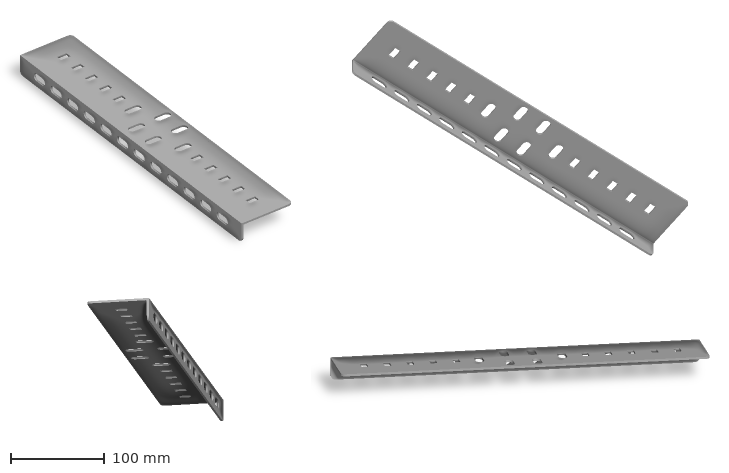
import cadquery as cq

length = 400.0
depth = 68.0
height = 24.5
thickness = 2.5
inner_bend_radius = 1.0
corner_radius = 5.0

slot_length = 20.0
slot_width = 9.0
slot_pitch = 30.0

front_slot_count = 12
front_slot_z = -13.0

hole_line_y = 36.0
slot_row_spacing = 35.0
window_width = 7.0
window_depth = 12.5
windows_per_side = 5
first_window_x = 70.0
last_window_x = 170.0


def make_angle():
    """L section along X, with rounded inner bend and rounded free corners."""
    section = [
        (0, 0),
        (depth, 0),
        (depth, -thickness),
        (thickness, -thickness),
        (thickness, -height),
        (0, -height),
    ]
    angle = cq.Workplane("YZ").polyline(section).close().extrude(length / 2, both=True)
    inner_bend = cq.selectors.NearestToPointSelector((0, thickness, -thickness))
    angle = angle.edges(inner_bend).fillet(inner_bend_radius)
    angle = angle.faces(">Y").edges("|Z").fillet(corner_radius)
    return angle.faces("<Z").edges("|Y").fillet(corner_radius)


def front_slot_cutter():
    """Evenly spaced row of lengthwise slots through the vertical flange."""
    return (
        cq.Workplane("XZ")
        .center(0, front_slot_z)
        .rarray(slot_pitch, 4, front_slot_count, 1)
        .slot2D(slot_length, slot_width)
        .extrude(-thickness)
    )


def top_slot_cutter():
    """Crosswise slots: four around the middle and one outside them on each side."""
    inner_x = slot_pitch / 2
    outer_x = inner_x + slot_pitch
    row_offset = slot_row_spacing / 2
    centres = []
    for side in (-1, 1):
        centres.append((side * outer_x, 0))
        centres.append((side * inner_x, row_offset))
        centres.append((side * inner_x, -row_offset))
    return (
        cq.Workplane("XY")
        .center(0, hole_line_y)
        .pushPoints(centres)
        .slot2D(slot_length, slot_width, 90)
        .extrude(-thickness)
    )


def window_cutter():
    """Rectangular windows, evenly spaced towards both ends of the horizontal flange."""
    window_pitch = (last_window_x - first_window_x) / (windows_per_side - 1)
    centres = []
    for side in (-1, 1):
        for index in range(windows_per_side):
            centres.append((side * (first_window_x + index * window_pitch), 0))
    return (
        cq.Workplane("XY")
        .center(0, hole_line_y)
        .pushPoints(centres)
        .rect(window_width, window_depth)
        .extrude(-thickness)
    )


result = make_angle().cut(front_slot_cutter()).cut(top_slot_cutter()).cut(window_cutter())